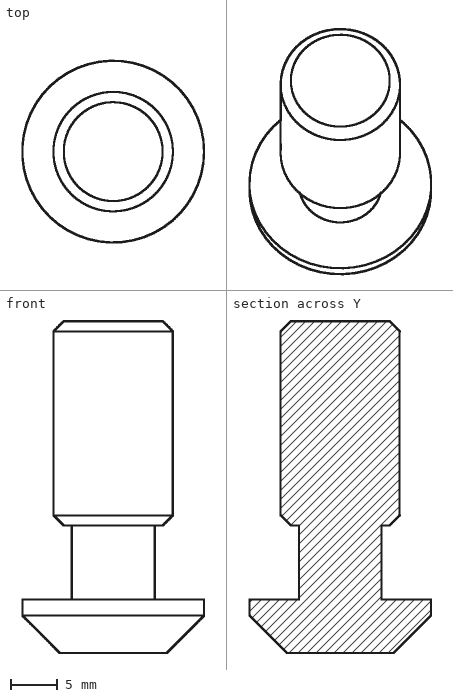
import cadquery as cq

total_height = 35.7

head_diameter = 19.55
head_cone_height = 4.05
head_rim_height = 1.75
head_height = head_cone_height + head_rim_height

neck_diameter = 8.95
neck_height = 7.93

body_diameter = 12.85
body_chamfer = 1.1
body_bottom = head_height + neck_height
body_height = total_height - body_bottom


def make_head():
    rim_and_cone = cq.Workplane("XY").circle(head_diameter / 2).extrude(head_height)
    return rim_and_cone.faces("<Z").chamfer(head_cone_height)


def make_neck():
    return (
        cq.Workplane("XY")
        .workplane(offset=head_height)
        .circle(neck_diameter / 2)
        .extrude(neck_height)
    )


def make_body():
    return (
        cq.Workplane("XY")
        .workplane(offset=body_bottom)
        .circle(body_diameter / 2)
        .extrude(body_height)
        .faces("<Z or >Z")
        .chamfer(body_chamfer)
    )


result = make_head().union(make_neck()).union(make_body())